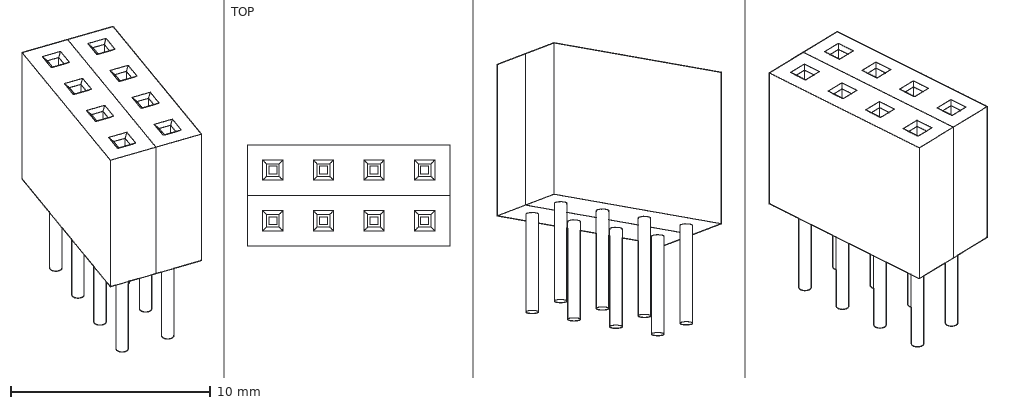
import cadquery as cq

pitch = 2.54
pins_per_row = 4
row_count = 2
row_length = pins_per_row * pitch
housing_height = 7.87

tail_diameter = 0.635
tail_length = 5.08
post_width = 0.4

socket_depth = 5.0
throat_width = 0.635
mouth_width = 1.016
lead_in_depth = (mouth_width - throat_width) / 2
socket_floor = housing_height - socket_depth


def centred_positions(count):
    """Places of a line of features, one pitch apart and centred on zero."""
    return [(index - (count - 1) / 2) * pitch for index in range(count)]


pin_columns = centred_positions(pins_per_row)
row_positions = centred_positions(row_count)


def make_post(x, y):
    """Square upper part of a pin, ending flush with the socket floor."""
    return cq.Workplane("XY").center(x, y).rect(post_width, post_width).extrude(socket_floor)


def make_pin(x, y):
    """Complete pin: the round tail with the square post on top."""
    tail = cq.Workplane("XY").center(x, y).circle(tail_diameter / 2).extrude(-tail_length)
    return tail.union(make_post(x, y))


def make_socket(x, y):
    """Space inside one socket: a straight square throat and its tapered lead-in."""
    throat = cq.Workplane("XY").workplane(offset=socket_floor).center(x, y)
    throat = throat.rect(throat_width, throat_width).extrude(socket_depth)
    lead_in = cq.Workplane("XY").workplane(offset=housing_height - lead_in_depth).center(x, y)
    lead_in = lead_in.rect(throat_width, throat_width).workplane(offset=lead_in_depth)
    lead_in = lead_in.rect(mouth_width, mouth_width).loft(ruled=True)
    return throat.union(lead_in)


def make_housing(y):
    """Housing of one row, with a socket and a matching post hole in each column."""
    housing = cq.Workplane("XY").center(0, y).rect(row_length, pitch).extrude(housing_height)
    for x in pin_columns:
        housing = housing.cut(make_socket(x, y))
        housing = housing.cut(make_post(x, y))
    return housing


housings = [make_housing(y) for y in row_positions]
pins = [make_pin(x, y) for y in row_positions for x in pin_columns]

result = cq.Compound.makeCompound([body.val() for body in housings + pins])